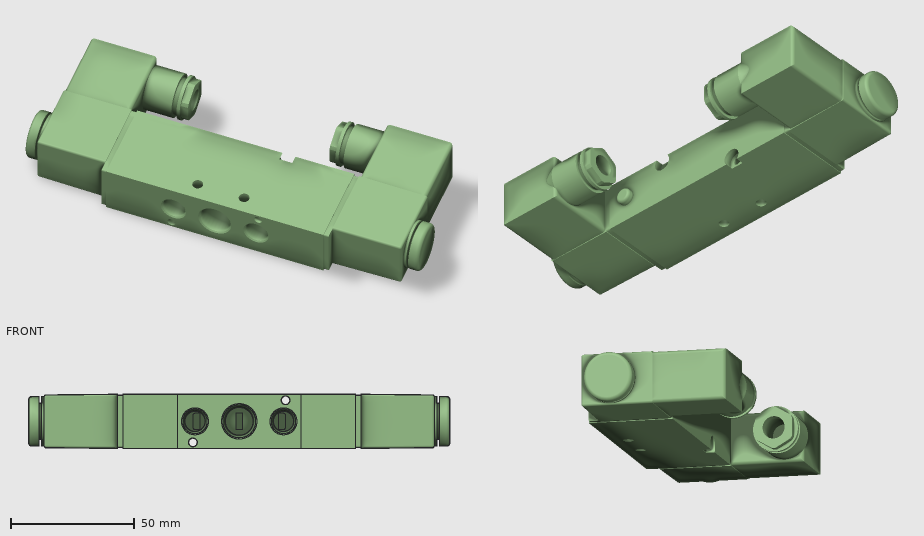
import cadquery as cq
import math


BODY_HEIGHT = 22.0
BODY_DEPTH = 35.0
AXIS_Y = BODY_DEPTH / 2
BLOCK_HALF_LENGTH = 25.0
CAP_END_X = 47.1

PORT_SPACING = 18.0
PORT_DEPTH = 13.7
PORT_CHAMFER = 0.5
CENTRE_PORT_RADIUS = 6.7
CENTRE_PORT_FLOOR_RADIUS = 5.6
SIDE_PORT_RADIUS = 5.0
SIDE_PORT_FLOOR_RADIUS = 4.1

SLOT_HEIGHT = 6.7
SLOT_DEPTH = 3.5
CENTRE_SLOT_WIDTH = 2.5
SIDE_SLOT_INNER_X = 15.9
SIDE_SLOT_WIDTH = 2.9
SIDE_SLOT_CORNER_RADIUS = 1.0

VERTICAL_HOLE_X = 10.0
VERTICAL_HOLE_Y = 7.0
VERTICAL_HOLE_RADIUS = 2.2
CROSS_HOLE_X = 18.8
CROSS_HOLE_Z = 8.5
CROSS_HOLE_RADIUS = 1.7
COUNTERBORE_RADIUS = 3.8
COUNTERBORE_DEPTH = 3.6

FLANGE_END_X = 49.4
FLANGE_INSET = 0.3
FLANGE_FILLET = 0.7

COIL_END_X = 79.0
COIL_FRONT_Y = 4.6
COIL_BACK_Y = 34.7
COIL_DRAFT = 0.29
COIL_FILLET = 0.9

PLUG_INNER_X = 49.9
PLUG_OUTER_X = 78.5
PLUG_HEIGHT = 21.2
PLUG_BACK_Y = 65.0
PLUG_FILLET = 1.4

KNOB_END_X = 85.4
KNOB_RADIUS = 10.0
KNOB_GROOVE_RADIUS = 7.3
KNOB_GROOVE_INNER_X = 80.1
KNOB_GROOVE_OUTER_X = 81.1
KNOB_FILLET = 1.4

GLAND_RADIUS = 9.4
GLAND_AXIS_Y = 57.4
GLAND_ROOT_X = 55.3
GLAND_ROOT_RADIUS = 7.5
GLAND_CONE_X = 50.4
GLAND_SLEEVE_X = 37.4
GLAND_GROOVE_X = 35.2
GLAND_GROOVE_RADIUS = 7.9
GLAND_COLLAR_X = 33.8
NUT_X = 30.7
NUT_FLATS = 15.5
NUT_CORNER_RADIUS = 8.5
CABLE_HOLE_RADIUS = 4.6
CABLE_HOLE_DEPTH = 17.0

BUTTON_X = 37.7
BUTTON_RADIUS = 3.5
BUTTON_HEIGHT = 3.0
BUTTON_FILLET = 1.2


def box(x_range, y_range, height):
    """Box between two X and two Y positions, centred on Z = 0."""
    length = x_range[1] - x_range[0]
    depth = y_range[1] - y_range[0]
    return cq.Workplane("XY").box(length, depth, height).translate((sum(x_range) / 2, sum(y_range) / 2, 0))


def rod_along_y(x, z, radius, y_start, y_end):
    """Cylinder parallel to Y."""
    return cq.Workplane("XZ", origin=(x, y_start, z)).circle(radius).extrude(y_start - y_end)


def turned(profile, axis_y):
    """Solid of revolution about an axis parallel to X; the profile lists (x, radius) points."""
    points = [(x, axis_y + radius) for x, radius in profile]
    return cq.Workplane("XY").polyline(points).close().revolve(360, (0, axis_y), (1, axis_y))


def port(x, radius, floor_radius):
    """Conical port with a chamfered mouth, cut from the port face inwards."""
    profile = [
        (0, 0),
        (radius + PORT_CHAMFER, 0),
        (radius, PORT_CHAMFER),
        (floor_radius, PORT_DEPTH),
        (0, PORT_DEPTH),
    ]
    return cq.Workplane("XY").polyline(profile).close().revolve(360, (0, 0), (0, 1)).translate((x, 0, 0))


def slot(x_range):
    """Flow slot sunk into a port floor."""
    return box(x_range, (PORT_DEPTH, PORT_DEPTH + SLOT_DEPTH), SLOT_HEIGHT)


def side_slot(side):
    """Slot in a side port floor (+1 or -1), with its two outer corners rounded."""
    right_slot = slot((SIDE_SLOT_INNER_X, SIDE_SLOT_INNER_X + SIDE_SLOT_WIDTH))
    right_slot = right_slot.faces(">X").edges("|Y").fillet(SIDE_SLOT_CORNER_RADIUS)
    return right_slot if side > 0 else right_slot.mirror("YZ")


def make_valve_block():
    block = box((-BLOCK_HALF_LENGTH, BLOCK_HALF_LENGTH), (0, BODY_DEPTH), BODY_HEIGHT)
    block = block.cut(port(0, CENTRE_PORT_RADIUS, CENTRE_PORT_FLOOR_RADIUS))
    block = block.cut(slot((-CENTRE_SLOT_WIDTH / 2, CENTRE_SLOT_WIDTH / 2)))
    for side in (-1, 1):
        block = block.cut(port(side * PORT_SPACING, SIDE_PORT_RADIUS, SIDE_PORT_FLOOR_RADIUS))
        block = block.cut(side_slot(side))
        vertical_hole = cq.Workplane("XY").circle(VERTICAL_HOLE_RADIUS).extrude(BODY_HEIGHT / 2, both=True)
        block = block.cut(vertical_hole.translate((side * VERTICAL_HOLE_X, VERTICAL_HOLE_Y, 0)))
        x, z = side * CROSS_HOLE_X, side * CROSS_HOLE_Z
        block = block.cut(rod_along_y(x, z, CROSS_HOLE_RADIUS, 0, BODY_DEPTH))
        block = block.cut(rod_along_y(x, z, COUNTERBORE_RADIUS, BODY_DEPTH - COUNTERBORE_DEPTH, BODY_DEPTH))
    return block


def make_coil():
    depth = COIL_BACK_Y - COIL_FRONT_Y
    length = COIL_END_X - FLANGE_END_X
    draft_angle = math.degrees(math.atan(COIL_DRAFT / length))
    blank_depth = depth + 2 * COIL_DRAFT
    coil = (
        cq.Workplane("YZ", origin=(FLANGE_END_X, COIL_FRONT_Y + blank_depth / 2, 0))
        .rect(blank_depth, BODY_HEIGHT)
        .extrude(length, taper=draft_angle)
    )
    coil = coil.intersect(box((FLANGE_END_X, COIL_END_X), (0, COIL_BACK_Y), BODY_HEIGHT))
    rounded_edges = cq.selectors.BoxSelector(
        (FLANGE_END_X + length / 4, 0, -BODY_HEIGHT),
        (KNOB_END_X, COIL_BACK_Y - depth / 4, BODY_HEIGHT),
    )
    return coil.edges(rounded_edges).fillet(COIL_FILLET)


def make_plug():
    plug = box((PLUG_INNER_X, PLUG_OUTER_X), (COIL_BACK_Y, PLUG_BACK_Y), PLUG_HEIGHT)
    return plug.faces("<X or >X").edges("not <Y").fillet(PLUG_FILLET)


def make_knob():
    knob = turned([
        (COIL_END_X, 0),
        (COIL_END_X, KNOB_RADIUS),
        (KNOB_GROOVE_INNER_X, KNOB_RADIUS),
        (KNOB_GROOVE_INNER_X, KNOB_GROOVE_RADIUS),
        (KNOB_GROOVE_OUTER_X, KNOB_GROOVE_RADIUS),
        (KNOB_GROOVE_OUTER_X, KNOB_RADIUS),
        (KNOB_END_X, KNOB_RADIUS),
        (KNOB_END_X, 0),
    ], AXIS_Y)
    return knob.faces(">X").edges().fillet(KNOB_FILLET)


def make_gland():
    sleeve = turned([
        (GLAND_ROOT_X, 0),
        (GLAND_ROOT_X, GLAND_ROOT_RADIUS),
        (GLAND_CONE_X, GLAND_RADIUS),
        (GLAND_SLEEVE_X, GLAND_RADIUS),
        (GLAND_SLEEVE_X, GLAND_GROOVE_RADIUS),
        (GLAND_GROOVE_X, GLAND_GROOVE_RADIUS),
        (GLAND_GROOVE_X, GLAND_RADIUS),
        (GLAND_COLLAR_X, GLAND_RADIUS),
        (GLAND_COLLAR_X, 0),
    ], GLAND_AXIS_Y)
    nut_face = cq.Workplane("YZ", origin=(NUT_X, GLAND_AXIS_Y, 0))
    nut_length = GLAND_COLLAR_X - NUT_X
    hexagon = nut_face.polygon(6, NUT_FLATS, circumscribed=True)
    nut = hexagon.extrude(nut_length).intersect(nut_face.circle(NUT_CORNER_RADIUS).extrude(nut_length))
    cable_hole = nut_face.circle(CABLE_HOLE_RADIUS).extrude(CABLE_HOLE_DEPTH)
    return sleeve, nut, cable_hole


def make_end_unit():
    """End cap, flange, coil, plug, gland and knob at the +X end, as one solid."""
    cap = box((BLOCK_HALF_LENGTH, CAP_END_X), (0, BODY_DEPTH), BODY_HEIGHT)
    flange = box(
        (CAP_END_X, FLANGE_END_X), (FLANGE_INSET, BODY_DEPTH - FLANGE_INSET), BODY_HEIGHT - 2 * FLANGE_INSET
    )
    flange = flange.edges("|X").fillet(FLANGE_FILLET)
    sleeve, nut, cable_hole = make_gland()
    unit = cap.union(flange).union(make_coil()).union(make_plug()).union(make_knob())
    return unit.union(sleeve).union(nut).cut(cable_hole)


def make_override_button():
    button = rod_along_y(BUTTON_X, 0, BUTTON_RADIUS, BODY_DEPTH, BODY_DEPTH + BUTTON_HEIGHT)
    return button.faces(">Y").edges().fillet(BUTTON_FILLET)


valve_block = make_valve_block()
right_end_unit = make_end_unit()
left_end_unit = right_end_unit.mirror("YZ")
override_button = make_override_button()

result = cq.Compound.makeCompound([
    valve_block.solids().val(),
    right_end_unit.solids().val(),
    left_end_unit.solids().val(),
    override_button.solids().val(),
])